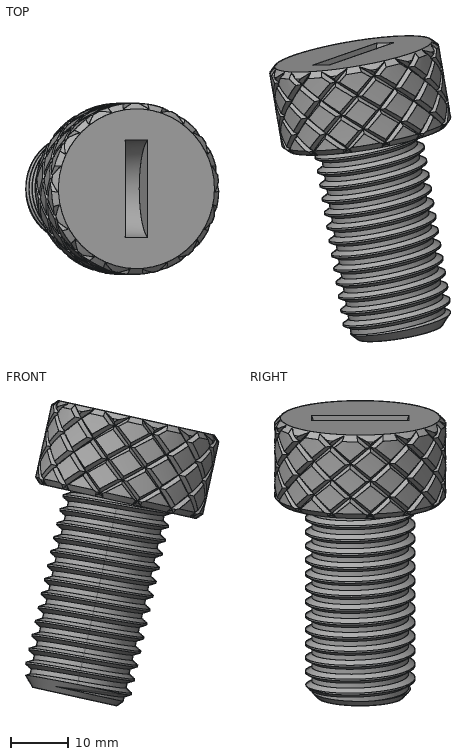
import cadquery as cq
import math

TOTAL_LENGTH = 50.0
HEAD_HEIGHT = 15.0
SHANK_LENGTH = TOTAL_LENGTH - HEAD_HEIGHT
TILT_ANGLE = 12.5

HEAD_RADIUS = 30.0 / 2
HEAD_CHAMFER = 1.0

SLOT_WIDTH = 4.0
SLOT_LENGTH = 17.0
SLOT_DEPTH = 6.8

GROOVES_PER_HAND = 13
GROOVE_WIDTH = 1.05
GROOVE_DEPTH = 0.85
KNURL_LEAD = 78.1
KNURL_CROSSING_BELOW_TOP = 5.2
KNURL_OVERRUN = 1.05

CREST_RADIUS = 19.2 / 2
ROOT_RADIUS = 16.95 / 2
SHANK_PITCHES = 14
PITCH = SHANK_LENGTH / SHANK_PITCHES
CREST_FLAT = PITCH / 8
FLANK_HALF_ANGLE = 30.0
THREAD_GROOVE_START = 0.75
TIP_RADIUS = 7.55
TIP_CHAMFER_HEIGHT = 2.25

CUT_CLEARANCE = 0.25


def make_shank():
    """Cylinder with a chamfered tip and a right-handed trapezoidal groove."""
    blank = (
        cq.Workplane("XZ")
        .moveTo(0, 0)
        .lineTo(TIP_RADIUS, 0)
        .lineTo(CREST_RADIUS, TIP_CHAMFER_HEIGHT)
        .lineTo(CREST_RADIUS, SHANK_LENGTH)
        .lineTo(0, SHANK_LENGTH)
        .close()
        .revolve(360, (0, 0, 0), (0, 1, 0))
    )
    one_turn = make_thread_cutter()
    for turn in range(-1, SHANK_PITCHES + 1):
        blank = blank.cut(one_turn.translate((0, 0, turn * PITCH)))
    return blank


def make_thread_cutter():
    """One turn of the helical groove, starting and ending on the -Y side."""
    slope = math.tan(math.radians(FLANK_HALF_ANGLE))
    outer_radius = CREST_RADIUS + CUT_CLEARANCE
    half_mouth = (PITCH - CREST_FLAT) / 2
    half_root = half_mouth - (CREST_RADIUS - ROOT_RADIUS) * slope
    half_outer = half_mouth + CUT_CLEARANCE * slope
    helix = cq.Wire.makeHelix(PITCH, PITCH, ROOT_RADIUS)
    groove = (
        cq.Workplane("XZ")
        .moveTo(ROOT_RADIUS, -half_root)
        .lineTo(outer_radius, -half_outer)
        .lineTo(outer_radius, half_outer)
        .lineTo(ROOT_RADIUS, half_root)
        .close()
        .sweep(cq.Workplane(helix), isFrenet=True)
    )
    return groove.rotate((0, 0, 0), (0, 0, 1), -90).translate((0, 0, THREAD_GROOVE_START))


def make_head():
    """Chamfered disc, knurled around its side and slotted on top."""
    head = (
        cq.Workplane("XY", origin=(0, 0, SHANK_LENGTH))
        .circle(HEAD_RADIUS)
        .extrude(HEAD_HEIGHT)
        .edges()
        .chamfer(HEAD_CHAMFER)
    )
    for hand in (1, -1):
        cutter = make_knurl_cutter(hand)
        grooves = [
            cutter.rotate((0, 0, 0), (0, 0, 1), index * 360 / GROOVES_PER_HAND).val()
            for index in range(GROOVES_PER_HAND)
        ]
        head = head.newObject([head.val().cut(*grooves)])
    return head.cut(make_slot_cutter())


def make_knurl_cutter(hand):
    """One V groove twisting about the axis; hand is +1 for right, -1 for left."""
    length = HEAD_HEIGHT + 2 * KNURL_OVERRUN
    twist = hand * 360 * length / KNURL_LEAD
    helix_angle = math.atan(2 * math.pi * HEAD_RADIUS / KNURL_LEAD)
    half_mouth = GROOVE_WIDTH / 2 / math.cos(helix_angle)
    half_outer = half_mouth * (1 + CUT_CLEARANCE / GROOVE_DEPTH)
    crossing_turn = (length - KNURL_OVERRUN - KNURL_CROSSING_BELOW_TOP) / length
    cutter = (
        cq.Workplane("XY", origin=(0, 0, SHANK_LENGTH - KNURL_OVERRUN))
        .moveTo(HEAD_RADIUS - GROOVE_DEPTH, 0)
        .lineTo(HEAD_RADIUS + CUT_CLEARANCE, -half_outer)
        .lineTo(HEAD_RADIUS + CUT_CLEARANCE, half_outer)
        .close()
        .twistExtrude(length, twist)
    )
    return cutter.rotate((0, 0, 0), (0, 0, 1), -90 - twist * crossing_turn)


def make_slot_cutter():
    """Disc with its axis along X, cutting a straight slot with a rounded floor."""
    disc_radius = (SLOT_LENGTH**2 / 4 + SLOT_DEPTH**2) / (2 * SLOT_DEPTH)
    disc_height = TOTAL_LENGTH - SLOT_DEPTH + disc_radius
    return (
        cq.Workplane("YZ", origin=(0, 0, disc_height))
        .circle(disc_radius)
        .extrude(SLOT_WIDTH / 2, both=True)
    )


screw = make_head().union(make_shank())
result = screw.rotate((0, 0, 0), (0, 1, 0), TILT_ANGLE)